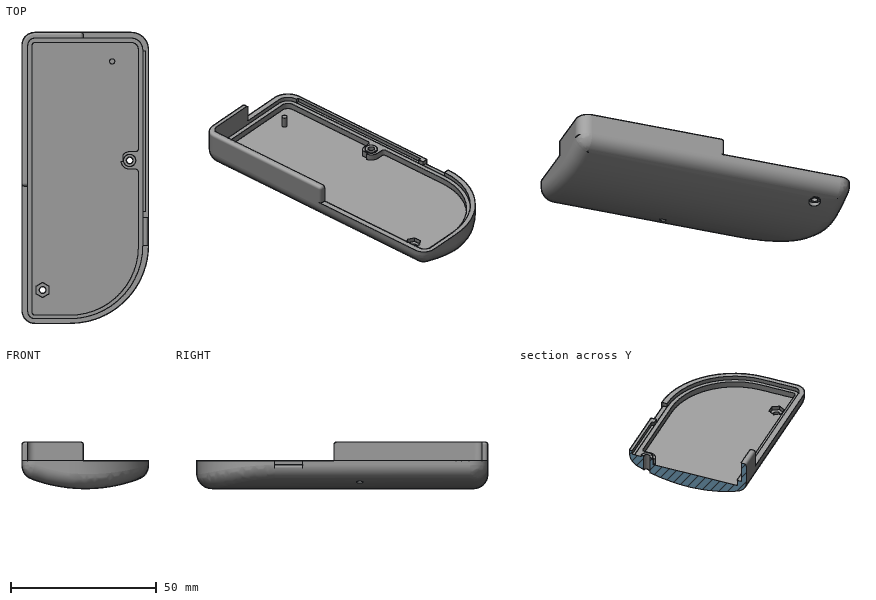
import cadquery as cq
import math

LENGTH = 100.0
WIDTH = 43.5
HEIGHT = 16.1
RIM_Z = 9.7
LEDGE_Z = 8.2
FLOOR_Z = 6.0

LEFT_RADIUS = 4.5
BACK_RADIUS = 6.0
SWEEP_RADIUS = 27.0

BELLY_RADIUS = 51.8
BELLY_FILLET = 5.0

RIM_WIDTH = 2.0
FRONT_RIM_WIDTH = 1.65
LEDGE_WIDTH = 1.5
FRONT_LEDGE_WIDTH = 1.2

WALL_FRONT_Y = 47.1
WALL_RIGHT_X = 21.1
WALL_FILLET = 1.0

GROOVE_DEPTH = 0.9
GROOVE_START_Y = 38.4
GROOVE_END_Y = 93.5
GROOVE_STEP = 0.1
GROOVE_Z = LEDGE_Z + GROOVE_STEP
NOTCH_START_Y = 26.8
NOTCH_END_Y = 36.4
NOTCH_ROUND = 1.0

SCREW_DIAMETER = 2.2
BOSS_X = 37.0
BOSS_Y = 56.0
BOSS_RADIUS = 3.0
BOSS_BLEND = 1.0
BOSS_COLLAR_DIAMETER = 4.2
BOSS_COLLAR_HEIGHT = 0.5
BOSS_FLAT_OFFSET = 2.3
BOSS_FLAT_START = -0.4
NUT_X = 7.1
NUT_Y = 11.5
NUT_FLATS = 4.5
NUT_DEPTH = 1.5
HEAD_DIAMETER = 4.0
HEAD_SEAT_Z = 3.0

PIN_X = 31.0
PIN_Y = 90.0
PIN_DIAMETER = 1.8


def box(x0, x1, y0, y1, z0, z1):
    """Axis-aligned box between two corners."""
    return cq.Workplane("XY").box(x1 - x0, y1 - y0, z1 - z0, centered=False).translate((x0, y0, z0))


def outline_prism(inset, front_inset, left_r, back_r, sweep_r, z0, z1):
    """Tray outline inset from the outer edge, extruded from z0 to z1."""
    left = inset
    right = WIDTH - inset
    front = front_inset
    back = LENGTH - inset
    diag = 1 - math.sqrt(0.5)
    return (
        cq.Workplane("XY", origin=(0, 0, z0))
        .moveTo(left + left_r, front)
        .lineTo(right - sweep_r, front)
        .threePointArc((right - sweep_r * diag, front + sweep_r * diag), (right, front + sweep_r))
        .lineTo(right, back - back_r)
        .threePointArc((right - back_r * diag, back - back_r * diag), (right - back_r, back))
        .lineTo(left + left_r, back)
        .threePointArc((left + left_r * diag, back - left_r * diag), (left, back - left_r))
        .lineTo(left, front + left_r)
        .threePointArc((left + left_r * diag, front + left_r * diag), (left + left_r, front))
        .close()
        .extrude(z1 - z0)
    )


def outer_prism(z0, z1):
    return outline_prism(0, 0, LEFT_RADIUS, BACK_RADIUS, SWEEP_RADIUS, z0, z1)


def rim_opening(z0, z1):
    """Space inside the rim and inside the raised wall."""
    return outline_prism(RIM_WIDTH, FRONT_RIM_WIDTH, LEFT_RADIUS - RIM_WIDTH, BACK_RADIUS - RIM_WIDTH,
                         SWEEP_RADIUS - RIM_WIDTH, z0, z1)


def make_body():
    """Solid tray with an underside curved across X and blended into the sides."""
    belly = (
        cq.Workplane("XZ")
        .center(WIDTH / 2, BELLY_RADIUS)
        .circle(BELLY_RADIUS)
        .extrude(-LENGTH)
    )
    body = outer_prism(0, RIM_Z).intersect(belly)
    underside = body.faces("not |Z").faces(cq.selectors.NearestToPointSelector((WIDTH / 2, LENGTH / 2, 0)))
    return underside.edges().fillet(BELLY_FILLET)


def make_raised_wall():
    """L-shaped wall standing on the left and back of the rim, rounded outside and at its ends."""
    wall = outer_prism(LEDGE_Z, HEIGHT)
    wall = wall.intersect(box(0, WALL_RIGHT_X, WALL_FRONT_Y, LENGTH, LEDGE_Z, HEIGHT))
    for x, y in ((0, WALL_FRONT_Y), (WALL_RIGHT_X, LENGTH)):
        end_edge = cq.selectors.NearestToPointSelector((x, y, (LEDGE_Z + HEIGHT) / 2))
        wall = wall.edges("|Z").edges(end_edge).fillet(WALL_FILLET)
    wall = wall.faces(">Z").edges().fillet(WALL_FILLET)
    return wall.cut(rim_opening(LEDGE_Z, HEIGHT))


def make_floor_pocket():
    """Space above the floor inside the ledge, leaving out the screw boss."""
    shrink = RIM_WIDTH + LEDGE_WIDTH
    pocket = outline_prism(shrink, FRONT_RIM_WIDTH + FRONT_LEDGE_WIDTH, LEFT_RADIUS - shrink,
                           BACK_RADIUS - shrink, SWEEP_RADIUS - shrink, FLOOR_Z, LEDGE_Z)
    depth = LEDGE_Z - FLOOR_Z
    boss = cq.Workplane("XY", origin=(BOSS_X, BOSS_Y, FLOOR_Z)).circle(BOSS_RADIUS).extrude(depth)
    boss = boss.union(box(BOSS_X, WIDTH, BOSS_Y - BOSS_RADIUS, BOSS_Y + BOSS_RADIUS, FLOOR_Z, LEDGE_Z))
    flat_x = BOSS_X - BOSS_FLAT_OFFSET
    boss = boss.cut(box(flat_x - BOSS_RADIUS, flat_x, BOSS_Y + BOSS_FLAT_START,
                        BOSS_Y + BOSS_RADIUS, FLOOR_Z, LEDGE_Z))
    pocket = pocket.cut(boss)
    ledge_x = WIDTH - shrink
    mid_z = (FLOOR_Z + LEDGE_Z) / 2
    for corner_y in (BOSS_Y - BOSS_RADIUS, BOSS_Y + BOSS_RADIUS):
        corner = cq.selectors.NearestToPointSelector((ledge_x, corner_y, mid_z))
        pocket = pocket.edges("|Z").edges(corner).fillet(BOSS_BLEND)
    return pocket


def make_groove():
    """Relief in the inner face of the right rim."""
    inner_x = WIDTH - RIM_WIDTH
    return box(inner_x, inner_x + GROOVE_DEPTH, GROOVE_START_Y, GROOVE_END_Y, GROOVE_Z, RIM_Z)


def make_notch():
    """Opening through the right rim, level with the groove.

    The outer edge of its floor is rounded over, tangent to the floor and to the belly fillet.
    """
    inner_x = WIDTH - RIM_WIDTH
    clear_x = WIDTH + RIM_WIDTH
    fillet_x = WIDTH - BELLY_FILLET
    fillet_z = BELLY_RADIUS - math.sqrt((BELLY_RADIUS - BELLY_FILLET) ** 2
                                        - (WIDTH / 2 - BELLY_FILLET) ** 2)
    round_z = GROOVE_Z - NOTCH_ROUND
    contact_angle = math.asin((round_z - fillet_z) / (BELLY_FILLET - NOTCH_ROUND))
    round_x = fillet_x + (BELLY_FILLET - NOTCH_ROUND) * math.cos(contact_angle)

    def on_round(angle):
        return (round_x + NOTCH_ROUND * math.cos(angle), round_z + NOTCH_ROUND * math.sin(angle))

    contact = on_round(contact_angle)
    return (
        cq.Workplane("XZ", origin=(0, NOTCH_START_Y, 0))
        .moveTo(inner_x, RIM_Z)
        .lineTo(inner_x, GROOVE_Z)
        .lineTo(round_x, GROOVE_Z)
        .threePointArc(on_round((contact_angle + math.pi / 2) / 2), contact)
        .lineTo(clear_x, contact[1])
        .lineTo(clear_x, RIM_Z)
        .close()
        .extrude(NOTCH_START_Y - NOTCH_END_Y)
    )


def vertical_cylinder(x, y, diameter, z0, z1):
    return cq.Workplane("XY", origin=(x, y, z0)).circle(diameter / 2).extrude(z1 - z0)


def make_boss_collar():
    """Raised ring on top of the boss; the screw hole is cut through it later."""
    collar_top = LEDGE_Z + BOSS_COLLAR_HEIGHT
    return vertical_cylinder(BOSS_X, BOSS_Y, BOSS_COLLAR_DIAMETER, LEDGE_Z, collar_top)


def make_locating_pin():
    return vertical_cylinder(PIN_X, PIN_Y, PIN_DIAMETER, FLOOR_Z, RIM_Z)


def make_screw_cuts():
    """Boss hole, and nut hole with hexagon above and head seat below."""
    cuts = vertical_cylinder(BOSS_X, BOSS_Y, SCREW_DIAMETER, 0, RIM_Z)
    cuts = cuts.union(vertical_cylinder(NUT_X, NUT_Y, SCREW_DIAMETER, 0, FLOOR_Z))
    cuts = cuts.union(vertical_cylinder(NUT_X, NUT_Y, HEAD_DIAMETER, 0, HEAD_SEAT_Z))
    hexagon = (
        cq.Workplane("XY", origin=(NUT_X, NUT_Y, FLOOR_Z - NUT_DEPTH))
        .transformed(rotate=(0, 0, 90))
        .polygon(6, NUT_FLATS / math.cos(math.pi / 6))
        .extrude(NUT_DEPTH)
    )
    return cuts.union(hexagon)


result = make_body()
result = result.cut(rim_opening(LEDGE_Z, RIM_Z))
result = result.cut(make_floor_pocket())
result = result.cut(make_groove())
result = result.cut(make_notch())
result = result.union(make_raised_wall())
result = result.union(make_boss_collar())
result = result.cut(make_screw_cuts())
result = result.union(make_locating_pin())